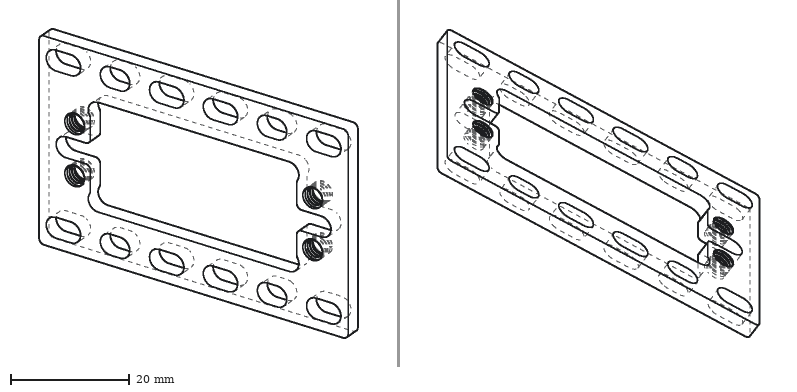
import cadquery as cq

plate_length = 63.0
plate_height = 40.0
plate_thickness = 3.0
plate_corner_radius = 1.0

slot_height = 4.0
long_slot_length = 7.0
short_slot_length = 6.0
slot_row_offset = 16.0
slot_pitch = 10.5
inner_slot_offset = 5.5
slot_sizes = [
    (inner_slot_offset, long_slot_length),
    (inner_slot_offset + slot_pitch, short_slot_length),
    (inner_slot_offset + 2 * slot_pitch, long_slot_length),
]

window_length = 42.0
window_height = 21.0
relief_radius = 2.0
relief_overhang = 0.45
notch_span = 56.0
notch_height = 4.0
wall_corner_radius = 1.0

hole_offset_x = 24.25
hole_offset_z = 5.0
thread_minor_diameter = 3.3
thread_major_diameter = 4.0
thread_pitch = 0.7
thread_crest_width = 0.09
thread_root_width = 0.55
thread_embed = 0.05
thread_end_gap = 0.05


def through_prism(sketch):
    """Extrude a sketch drawn in the XZ plane through the plate, centred on Y = 0."""
    return sketch.extrude(plate_thickness / 2, both=True)


def mirrored_points(x, z):
    """The four points at +-x, +-z."""
    return [(side_x * x, side_z * z) for side_x in (-1, 1) for side_z in (-1, 1)]


def make_plate():
    blank = through_prism(cq.Workplane("XZ").rect(plate_length, plate_height))
    return blank.edges("|Y").fillet(plate_corner_radius)


def make_mounting_slots():
    slots = cq.Workplane("XZ")
    for offset, length in slot_sizes:
        outlines = cq.Workplane("XZ").pushPoints(mirrored_points(offset, slot_row_offset))
        slots = slots.add(through_prism(outlines.slot2D(length, slot_height)))
    return slots.combine()


def make_window():
    relief_x = window_length / 2 + relief_overhang - relief_radius
    relief_z = window_height / 2 - relief_radius

    middle = through_prism(cq.Workplane("XZ").rect(window_length, 2 * relief_z))
    full_height = through_prism(cq.Workplane("XZ").rect(2 * relief_x, window_height))
    relief_centres = cq.Workplane("XZ").pushPoints(mirrored_points(relief_x, relief_z))
    reliefs = through_prism(relief_centres.circle(relief_radius))
    notches = through_prism(cq.Workplane("XZ").slot2D(notch_span, notch_height))
    window = middle.union(full_height).union(reliefs).union(notches)

    wall_zone_x = (window_length + relief_overhang) / 2
    wall_corners = cq.selectors.BoxSelector(
        (-wall_zone_x, -plate_thickness, -relief_z),
        (wall_zone_x, plate_thickness, relief_z),
    )
    return window.edges("|Y").edges(wall_corners).fillet(wall_corner_radius)


def make_thread_ridge():
    """Helical ridge along Z, centred on the origin, rooted just outside the major diameter."""
    crest_radius = thread_minor_diameter / 2
    root_radius = thread_major_diameter / 2 + thread_embed
    half_crest = thread_crest_width / 2
    half_root = thread_root_width / 2
    helix_length = plate_thickness - thread_root_width - 2 * thread_end_gap

    helix = cq.Wire.makeHelix(thread_pitch, helix_length, crest_radius)
    profile = cq.Workplane("XZ").polyline([
        (crest_radius, -half_crest),
        (root_radius, -half_root),
        (root_radius, half_root),
        (crest_radius, half_crest),
    ]).close()
    ridge = profile.sweep(cq.Workplane(helix), isFrenet=True)
    return ridge.translate((0, 0, -helix_length / 2))


def add_threaded_holes(body):
    ridge = make_thread_ridge().rotate((0, 0, 0), (1, 0, 0), 90)
    centres = mirrored_points(hole_offset_x, hole_offset_z)
    hole_outlines = cq.Workplane("XZ").pushPoints(centres).circle(thread_major_diameter / 2)
    body = body.cut(through_prism(hole_outlines))
    for x, z in centres:
        body = body.union(ridge.translate((x, 0, z)))
    return body


plate = make_plate().cut(make_mounting_slots()).cut(make_window())
result = add_threaded_holes(plate)